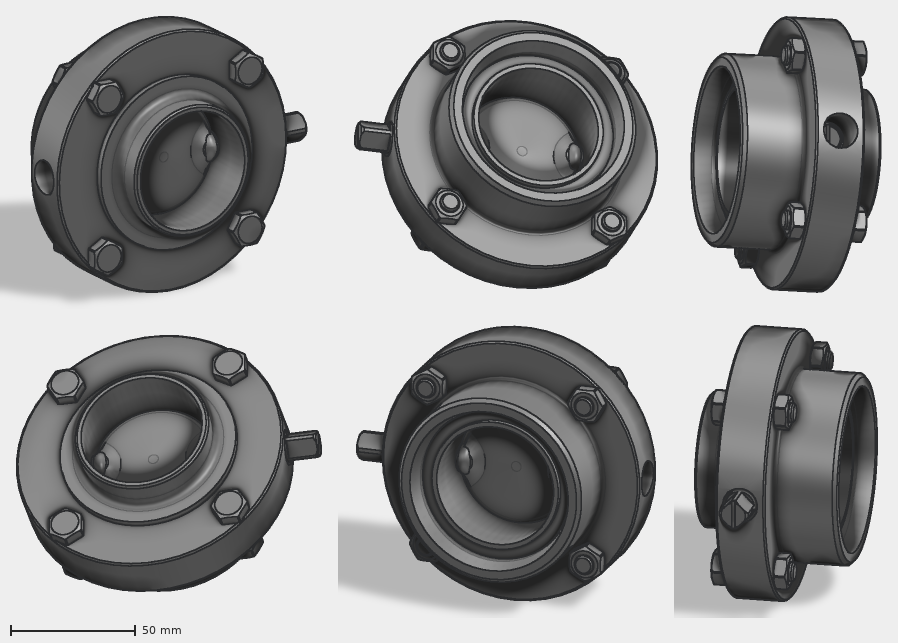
import cadquery as cq
import math


BORE_R = 50.0 / 2
FLANGE_R = 110.0 / 2
FLANGE_HALF_WIDTH = 10.2
FLANGE_CHAMFER = 0.7
INLET_END = -36.0
INLET_R = 78.0 / 2
INLET_CHAMFER = 1.6
INLET_FILLET = 1.5
OUTLET_END = 25.0
OUTLET_R = 55.0 / 2
OUTLET_CHAMFER = 0.9
SHOULDER_R = 72.5 / 2
SHOULDER_END = 13.1
SHOULDER_FILLET = 3.7

SOCKET_R = 63.8 / 2
SOCKET_MOUTH_R = 33.8
SOCKET_TAPER_DEPTH = 6.9
SOCKET_DEPTH = 10.0
SEAT_LIP_R = 54.0 / 2
SEAT_LIP_HEIGHT = 2.7

DISC_HALF_RIM = 2.2
DISC_HALF_CENTRE = 3.4
DISC_TIP_R = 4.2 / 2
DISC_RIM_FILLET = 2.1
HUB_CENTRE_Y = 22.4
HUB_BASE_R = 13.2
HUB_TOP_R = 4.3
HUB_HALF_HEIGHT = 4.9
HUB_FLARE_SAG = 0.5
PAD_R = 14.2 / 2
PAD_INNER_Y = 19.0
PAD_OUTER_Y = 24.6
PAD_MIDDLE_Y = (PAD_INNER_Y + PAD_OUTER_Y) / 2

STEM_R = 12.0 / 2
STEM_CHAMFER = 1.0
OVERALL_LENGTH = 122.5
STEM_TOP_Y = OVERALL_LENGTH - FLANGE_R
STEM_BOTTOM_Y = -36.8
STEM_HOLE_R = 14.2 / 2
STEM_HOLE_FLOOR_Y = 34.3
SQUARE_SIDE = 9.5
SQUARE_START_Y = 55.5
SLOT_WIDTH = 1.3
SLOT_DEPTH = 0.7

BOLT_SPACING = 67.5
BOLT_R = 8.0 / 2
BOLT_TIP_X = -17.9
BOLT_TIP_CHAMFER = 0.7
HEX_FLATS = 13.2
HEX_CORNER_R = 7.5
HEX_FACE_R = 11.4 / 2
HEX_CHAMFER_HEIGHT = 0.9
NUT_OUTER_X = -16.2
HEAD_OUTER_X = 15.4


def turned_about_x(outline):
    return outline.close().revolve(360, (0, 0, 0), (1, 0, 0))


def cylinder_y(radius, start_y, end_y):
    length = end_y - start_y
    return cq.Workplane("XZ", origin=(0, start_y, 0)).circle(radius).extrude(-length)


def make_body():
    recess_x = INLET_END + SOCKET_DEPTH
    taper_x = INLET_END + SOCKET_TAPER_DEPTH
    lip_x = recess_x - SEAT_LIP_HEIGHT
    outlet_start = SHOULDER_END + SHOULDER_FILLET
    sin45 = math.sqrt(0.5)
    outline = (
        cq.Workplane("XY")
        .moveTo(INLET_END, SOCKET_MOUTH_R)
        .lineTo(INLET_END, INLET_R - INLET_CHAMFER)
        .lineTo(INLET_END + INLET_CHAMFER, INLET_R)
        .lineTo(-FLANGE_HALF_WIDTH - INLET_FILLET, INLET_R)
        .threePointArc(
            (-FLANGE_HALF_WIDTH - INLET_FILLET * (1 - sin45), INLET_R + INLET_FILLET * (1 - sin45)),
            (-FLANGE_HALF_WIDTH, INLET_R + INLET_FILLET),
        )
        .lineTo(-FLANGE_HALF_WIDTH, FLANGE_R - FLANGE_CHAMFER)
        .lineTo(-FLANGE_HALF_WIDTH + FLANGE_CHAMFER, FLANGE_R)
        .lineTo(FLANGE_HALF_WIDTH - FLANGE_CHAMFER, FLANGE_R)
        .lineTo(FLANGE_HALF_WIDTH, FLANGE_R - FLANGE_CHAMFER)
        .lineTo(FLANGE_HALF_WIDTH, SHOULDER_R)
        .lineTo(SHOULDER_END, SHOULDER_R)
        .lineTo(SHOULDER_END, OUTLET_R + SHOULDER_FILLET)
        .threePointArc(
            (outlet_start - SHOULDER_FILLET * sin45, OUTLET_R + SHOULDER_FILLET * (1 - sin45)),
            (outlet_start, OUTLET_R),
        )
        .lineTo(OUTLET_END - OUTLET_CHAMFER, OUTLET_R)
        .lineTo(OUTLET_END, OUTLET_R - OUTLET_CHAMFER)
        .lineTo(OUTLET_END, BORE_R)
        .lineTo(lip_x, BORE_R)
        .lineTo(lip_x, SEAT_LIP_R)
        .lineTo(recess_x, SEAT_LIP_R)
        .lineTo(recess_x, SOCKET_R)
        .lineTo(taper_x, SOCKET_R)
    )
    body = turned_about_x(outline)
    for side in (-1, 1):
        floor_y, mouth_y = sorted((side * STEM_HOLE_FLOOR_Y, side * (FLANGE_R + STEM_HOLE_R)))
        body = body.cut(cylinder_y(STEM_HOLE_R, floor_y, mouth_y))
    return body


def make_disc():
    """Shallow double cone with a rounded rim that touches the bore."""
    outline = (
        cq.Workplane("XY")
        .moveTo(-DISC_HALF_CENTRE, 0)
        .lineTo(-DISC_HALF_CENTRE, DISC_TIP_R)
        .lineTo(-DISC_HALF_RIM, BORE_R)
        .lineTo(DISC_HALF_RIM, BORE_R)
        .lineTo(DISC_HALF_CENTRE, DISC_TIP_R)
        .lineTo(DISC_HALF_CENTRE, 0)
    )
    rim_edges = cq.selectors.RadiusNthSelector(-1)
    return turned_about_x(outline).edges(rim_edges).fillet(DISC_RIM_FILLET)


def make_disc_hub(side):
    """Hollow-sided cone raised on both disc faces, carrying a round-edged pad at one stem end."""
    flare_r = (HUB_BASE_R + HUB_TOP_R) / 2 - HUB_FLARE_SAG
    flare_x = (HUB_HALF_HEIGHT + DISC_HALF_RIM) / 2 - HUB_FLARE_SAG
    half_outline = (
        cq.Workplane("XY")
        .lineTo(0, HUB_BASE_R)
        .lineTo(DISC_HALF_RIM, HUB_BASE_R)
        .threePointArc((flare_x, flare_r), (HUB_HALF_HEIGHT, HUB_TOP_R))
        .lineTo(HUB_HALF_HEIGHT, 0)
    )
    half_cone = turned_about_x(half_outline)
    cone = half_cone.union(half_cone.mirror("YZ")).translate((0, side * HUB_CENTRE_Y, 0))
    inside_rim = cq.Workplane("YZ").circle(BORE_R - DISC_RIM_FILLET).extrude(HUB_HALF_HEIGHT, both=True)
    flat_r = PAD_R - (PAD_OUTER_Y - PAD_INNER_Y) / 2
    pad = (
        cq.Workplane("XY")
        .moveTo(0, side * PAD_INNER_Y)
        .lineTo(flat_r, side * PAD_INNER_Y)
        .threePointArc((PAD_R, side * PAD_MIDDLE_Y), (flat_r, side * PAD_OUTER_Y))
        .lineTo(0, side * PAD_OUTER_Y)
        .close()
        .revolve(360, (0, 0, 0), (0, 1, 0))
    )
    return cone.intersect(inside_rim).union(pad)


def make_stem():
    """Stem in two lengths, one from each pad, with a square drive at +Y and a slot across each end."""
    stem = cylinder_y(STEM_R, STEM_BOTTOM_Y, STEM_TOP_Y).faces("<Y or >Y").chamfer(STEM_CHAMFER)
    square_length = STEM_TOP_Y - SQUARE_START_Y
    square_middle = (STEM_TOP_Y + SQUARE_START_Y) / 2
    clear_width = 4 * STEM_R
    waste = cq.Workplane("XY").box(clear_width, square_length, clear_width)
    square = cq.Workplane("XY").box(SQUARE_SIDE, square_length, SQUARE_SIDE)
    flats = waste.cut(square).rotate((0, 0, 0), (0, 1, 0), 45).translate((0, square_middle, 0))
    slot = cq.Workplane("XY").box(SLOT_WIDTH, 2 * SLOT_DEPTH, clear_width)
    stem = stem.cut(flats)
    for end_y in (STEM_BOTTOM_Y, STEM_TOP_Y):
        stem = stem.cut(slot.translate((0, end_y, 0)))
    return stem.cut(cylinder_y(STEM_R, -PAD_MIDDLE_Y, PAD_MIDDLE_Y))


def make_hex(start_x, end_x, start_face_r, end_face_r):
    """Hexagon along X whose corners are trimmed by cones at the two ends."""
    length = end_x - start_x
    prism = cq.Workplane("YZ").polygon(6, HEX_FLATS / math.cos(math.pi / 6)).extrude(length)
    envelope = turned_about_x(
        cq.Workplane("XY")
        .lineTo(0, start_face_r)
        .lineTo(HEX_CHAMFER_HEIGHT, HEX_CORNER_R)
        .lineTo(length - HEX_CHAMFER_HEIGHT, HEX_CORNER_R)
        .lineTo(length, end_face_r)
        .lineTo(length, 0)
    )
    return prism.intersect(envelope).translate((start_x, 0, 0))


def make_bolt():
    """Bolt along X: head on the outlet side, nut and chamfered tip on the inlet side."""
    shank = cq.Workplane("YZ", origin=(BOLT_TIP_X, 0, 0)).circle(BOLT_R).extrude(HEAD_OUTER_X - BOLT_TIP_X)
    shank = shank.faces("<X").chamfer(BOLT_TIP_CHAMFER)
    nut = make_hex(NUT_OUTER_X, -FLANGE_HALF_WIDTH, HEX_FACE_R, HEX_FACE_R)
    head = make_hex(FLANGE_HALF_WIDTH, HEAD_OUTER_X, HEX_CORNER_R, HEX_FACE_R)
    return shank.union(nut).union(head)


result = make_body().union(make_disc()).union(make_stem())
for side in (-1, 1):
    result = result.union(make_disc_hub(side))
corner_bolt = make_bolt().translate((0, -BOLT_SPACING / 2, BOLT_SPACING / 2))
for quarter_turn in range(4):
    result = result.union(corner_bolt.rotate((0, 0, 0), (1, 0, 0), 90 * quarter_turn))